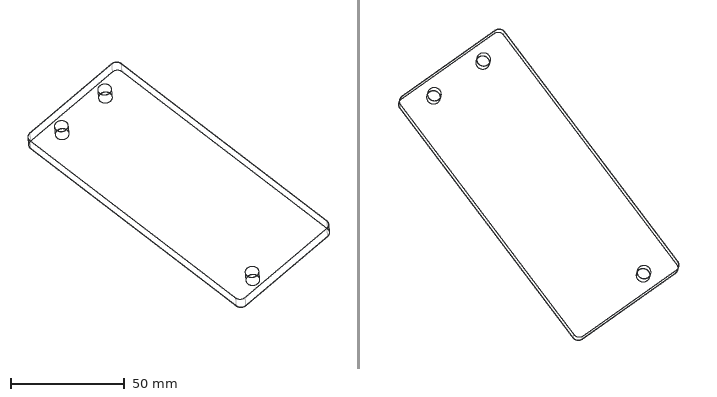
import cadquery as cq

length = 134.0
width = 57.1
thickness = 6.0
corner_radius = 3.0
tilt_angle = 5.0

hole_diameter = 6.0
hole_end_distance = 7.6
hole_row_offset = 13.5

hole_x = length / 2 - hole_end_distance
hole_centers = [
    (-hole_x, hole_row_offset),
    (-hole_x, -hole_row_offset),
    (hole_x, -hole_row_offset),
]

plate = (
    cq.Workplane("XY")
    .box(length, width, thickness)
    .edges("|Z")
    .fillet(corner_radius)
)

plate = (
    plate.faces(">Z")
    .workplane(origin=(0, 0, 0))
    .pushPoints(hole_centers)
    .hole(hole_diameter)
)

result = plate.rotate((0, 0, 0), (1, 0, 0), tilt_angle)